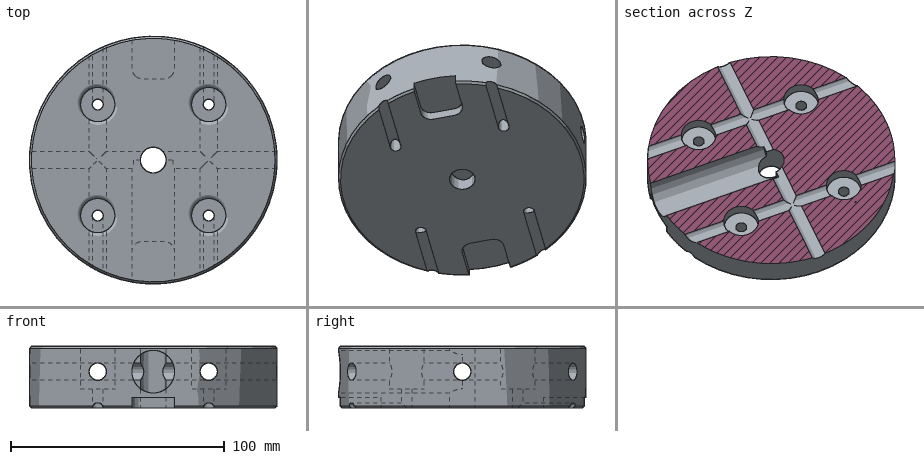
import cadquery as cq

diameter = 116.0
height = 29.0
edge_chamfer = 1.0
radius = diameter / 2

center_bore_diameter = 12.0
side_bore_diameter = 20.0
cross_hole_diameter = 8.0
cross_hole_height = 17.0

screw_offset = 26.0
screw_hole_diameter = 5.0
counterbore_diameter = 16.0
counterbore_floor = 9.0
rim_radius = 2.0

slot_width = 20.0
slot_depth = 5.0
slot_length = 20.0
slot_corner_radius = 5.0


def cylinder_along_y(x, z, hole_diameter, start_y, end_y):
    """Cylinder parallel to Y, from start_y to end_y."""
    origin = cq.Vector(x, start_y, z)
    return cq.Workplane(cq.Solid.makeCylinder(
        hole_diameter / 2, end_y - start_y, origin, cq.Vector(0, 1, 0)))


def counterbored_screw_hole(x, y):
    """Through hole and counterbore, with a convex rounded mouth."""
    bore_radius = counterbore_diameter / 2
    hole_radius = screw_hole_diameter / 2
    profile = (
        cq.Workplane("XZ")
        .lineTo(hole_radius, 0)
        .lineTo(hole_radius, counterbore_floor)
        .lineTo(bore_radius, counterbore_floor)
        .lineTo(bore_radius, height - rim_radius)
        .radiusArc((bore_radius + rim_radius, height), rim_radius)
        .lineTo(0, height)
        .close()
    )
    return profile.revolve(360, (0, 0, 0), (0, 1, 0)).translate((x, y, 0))


def edge_slot(side):
    """Underside slot open to the rim at Y = side * radius, with rounded inner corners."""
    return (
        cq.Workplane("XY")
        .center(0, side * radius)
        .rect(slot_width, 2 * slot_length)
        .extrude(slot_depth)
        .edges("|Z")
        .fillet(slot_corner_radius)
    )


result = cq.Workplane("XY").circle(radius).extrude(height).chamfer(edge_chamfer)
center_bore = cq.Workplane("XY").circle(center_bore_diameter / 2).extrude(height)
result = result.cut(center_bore)

result = result.cut(cylinder_along_y(0, cross_hole_height, side_bore_diameter, -radius, 0))

for x in (-screw_offset, screw_offset):
    result = result.cut(cylinder_along_y(x, cross_hole_height, cross_hole_diameter, -radius, radius))
x_hole = cylinder_along_y(0, cross_hole_height, cross_hole_diameter, -radius, radius)
result = result.cut(x_hole.rotate((0, 0, 0), (0, 0, 1), 90))

for side in (-1, 1):
    result = result.cut(edge_slot(side))
    y = side * screw_offset
    for x in (-screw_offset, screw_offset):
        result = result.cut(counterbored_screw_hole(x, y))
        groove_ends = sorted((y, side * radius))
        result = result.cut(cylinder_along_y(x, 0, screw_hole_diameter, *groove_ends))